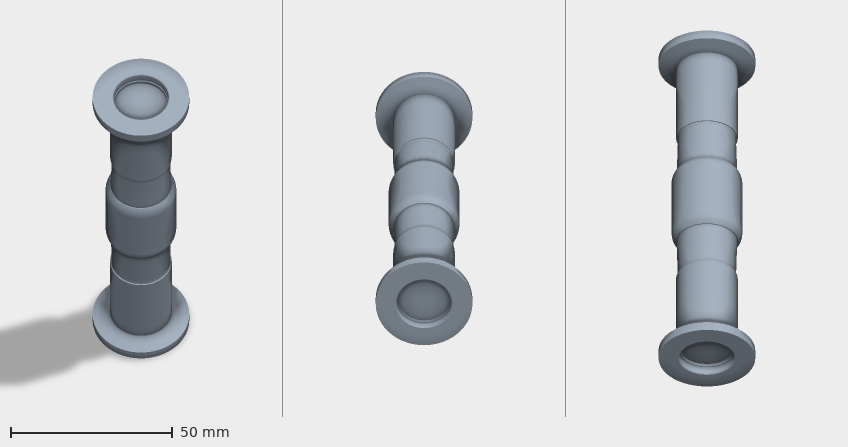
import cadquery as cq

total_length = 114.3
half_length = total_length / 2

flange_diameter = 30.0
flange_rim_thickness = 3.0
flange_back_height = 1.5

tube_diameter = 19.1
tube_end_depth = 30.4

neck_top_diameter = 18.4
neck_waist_diameter = 18.1
neck_curve_length = 1.4
neck_base_diameter = 18.9

sleeve_diameter = 22.0
shoulder_top_diameter = 19.4
shoulder_depth = 44.5
shoulder_length = 3.2

bore_diameter = 17.1
bore_depth = 2.7
bore_chamfer = 0.2
inner_bore_diameter = 16.5
inner_bore_depth = 3.8

rim_z = half_length - flange_rim_thickness
tube_top_z = rim_z - flange_back_height
tube_end_z = half_length - tube_end_depth
waist_z = tube_end_z - neck_curve_length
shoulder_top_z = half_length - shoulder_depth
shoulder_base_z = shoulder_top_z - shoulder_length


def arc_radius(length, rise):
    """Radius of an arc that starts along Z and moves sideways by rise over length."""
    return (length**2 + rise**2) / (2 * rise)


def make_sleeve():
    """Straight middle stretch of the sleeve, between the two shoulders."""
    return cq.Workplane("XY").cylinder(2 * shoulder_base_z, sleeve_diameter / 2)


def make_upper_end():
    """Shoulder, neck, tube and flange above the sleeve, revolved about Z."""
    flange_radius = flange_diameter / 2
    tube_radius = tube_diameter / 2
    neck_top_radius = neck_top_diameter / 2
    neck_waist_radius = neck_waist_diameter / 2
    neck_base_radius = neck_base_diameter / 2
    shoulder_top_radius = shoulder_top_diameter / 2
    sleeve_radius = sleeve_diameter / 2

    shoulder_arc = arc_radius(shoulder_length, sleeve_radius - shoulder_top_radius)
    neck_arc = arc_radius(neck_curve_length, neck_top_radius - neck_waist_radius)
    return (
        cq.Workplane("XZ")
        .moveTo(0, shoulder_base_z)
        .lineTo(sleeve_radius, shoulder_base_z)
        .radiusArc((shoulder_top_radius, shoulder_top_z), -shoulder_arc)
        .lineTo(neck_base_radius, shoulder_top_z)
        .lineTo(neck_waist_radius, waist_z)
        .radiusArc((neck_top_radius, tube_end_z), neck_arc)
        .lineTo(tube_radius, tube_end_z)
        .lineTo(tube_radius, tube_top_z)
        .lineTo(flange_radius, rim_z)
        .lineTo(flange_radius, half_length)
        .lineTo(0, half_length)
        .close()
        .revolve(360, (0, 0), (0, 1))
    )


def make_bore_cutter():
    """Stepped bore with a chamfered mouth, open at the top flange face."""
    bore_radius = bore_diameter / 2
    inner_bore_radius = inner_bore_diameter / 2
    floor_z = half_length - inner_bore_depth
    step_z = half_length - bore_depth
    return (
        cq.Workplane("XZ")
        .moveTo(0, floor_z)
        .lineTo(inner_bore_radius, floor_z)
        .lineTo(inner_bore_radius, step_z)
        .lineTo(bore_radius, step_z)
        .lineTo(bore_radius, half_length - bore_chamfer)
        .lineTo(bore_radius + bore_chamfer, half_length)
        .lineTo(0, half_length)
        .close()
        .revolve(360, (0, 0), (0, 1))
    )


upper_end = make_upper_end().cut(make_bore_cutter())
lower_end = upper_end.mirror("XY")
result = make_sleeve().union(upper_end).union(lower_end)